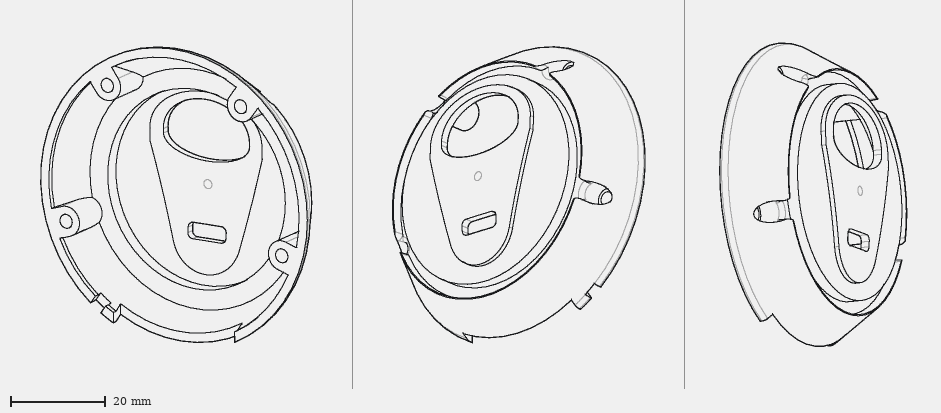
import cadquery as cq
import math


rim_radius = 32.9
rim_straight = 1.2
rim_fillet = 2.8
wall_angle = 29.5
wall_thickness = 2.05
wall_end = 12.9
floor_inside = 9.3

dome_sphere = 184.25
dome_flat_radius = 1.0
dome_radius = 23.1
dome_top = 14.9
recess_radius = 21.9
recess_top = 13.95

groove_floor = 10.65
groove_floor_radius = 25.8
groove_draft = 0.1
groove_fillet = 1.0

boss_circle = 27.95
boss_angles = [54, 126, 198, 342]
boss_radius = 3.3
screw_radius = 1.5
head_radius = 2.25
head_seat = 5.25

gap_width = 29.95
gap_depth = 3.0
gap_top_z = -19.75
notch_angle = 234.0
notch_width = 3.1
notch_depth = 1.85

plate_top = 15.9
head_half_width = 13.8
head_rise = 10.0
head_z = 10.5
side_corner_z = 7.55
foot_radius = 8.4
foot_z = -11.2
window_half_width = 10.6
window_rise = 7.95
window_upper_z = 10.85
window_drop = 4.8
window_lower_z = 9.9
slot_length = 9.35
slot_height = 3.55
slot_corner = 1.2
slot_z = -10.6

wall_slope = math.tan(math.radians(wall_angle))
wall_end_radius = rim_radius - (wall_end - rim_straight) * wall_slope
cavity_radius = rim_radius - wall_thickness
floor_radius = cavity_radius - (floor_inside - rim_straight) * wall_slope


def revolve_profile(profile):
    """Close a (radius, y) outline and revolve it about the Y axis."""
    return profile.close().revolve(360, (0, 0, 0), (0, 1, 0))


def revolve_points(points):
    return revolve_profile(cq.Workplane("XY").polyline(points))


def sketch_at(y):
    """Sketch plane across the axis, with sketch axes X and Z; negative extrusions run toward +Y."""
    return cq.Workplane("XZ", origin=(0, y, 0))


def cylinder(radius, start, end, x=0):
    """Cylinder along Y from y = start to y = end."""
    return sketch_at(start).center(x, 0).circle(radius).extrude(start - end)


def place_at(shape, angle):
    """Turn a shape built on the +X side about the Y axis to the given angle."""
    return shape.rotate((0, 0, 0), (0, 1, 0), -angle)


def domed_cylinder(radius, start, top):
    """Cylinder from y = start whose far end is a spherical surface with a small central flat."""
    def surface_y(r):
        return top + math.sqrt(dome_sphere**2 - r**2) - math.sqrt(dome_sphere**2 - dome_flat_radius**2)

    middle = (radius + dome_flat_radius) / 2
    profile = (cq.Workplane("XY").moveTo(0, start)
               .lineTo(radius, start)
               .lineTo(radius, surface_y(radius))
               .threePointArc((middle, surface_y(middle)), (dome_flat_radius, top))
               .lineTo(0, top))
    return revolve_profile(profile)



def make_outer_form():
    """Solid tapered body with a rounded rim, topped by the dome."""
    angle = math.radians(wall_angle)
    tangent_length = rim_fillet * math.tan(angle / 2)
    fillet_start = rim_straight - tangent_length
    arc_centre = rim_radius - rim_fillet

    def arc_point(turn):
        return arc_centre + rim_fillet * math.cos(turn), fillet_start + rim_fillet * math.sin(turn)

    profile = (cq.Workplane("XY")
               .lineTo(rim_radius, 0)
               .lineTo(rim_radius, fillet_start)
               .threePointArc(arc_point(angle / 2), arc_point(angle))
               .lineTo(wall_end_radius, wall_end)
               .lineTo(0, wall_end))
    return revolve_profile(profile).union(domed_cylinder(dome_radius, floor_inside, dome_top))


def make_boss():
    """Round post joined to the wall by straight radial sides."""
    post = cylinder(boss_radius, 0, floor_inside, boss_circle)
    web = cq.Workplane("XY").box(rim_radius - boss_circle, floor_inside, 2 * boss_radius,
                                 centered=(False, False, True))
    return post.union(web.translate((boss_circle, 0, 0)))


def make_cavity():
    """Hollow inside the wall and under the dome, with the bosses left standing."""
    cavity = revolve_points([(0, 0), (cavity_radius, 0), (cavity_radius, rim_straight),
                             (floor_radius, floor_inside), (0, floor_inside)])
    cavity = cavity.union(domed_cylinder(recess_radius, 0, recess_top))
    boss = make_boss()
    for angle in boss_angles:
        cavity = cavity.cut(place_at(boss, angle))
    return cavity


def make_groove_cut():
    """Groove around the dome together with the screw head seats that break into it."""
    outer_radius = groove_floor_radius + groove_draft * (plate_top - groove_floor)
    groove = revolve_points([(dome_radius, groove_floor), (groove_floor_radius, groove_floor),
                             (outer_radius, plate_top), (dome_radius, plate_top)])
    seat = cylinder(head_radius, head_seat, plate_top, boss_circle)
    for angle in boss_angles:
        groove = groove.union(place_at(seat, angle))

    inner_side = boss_circle - head_radius
    shared_edges = []
    for edge in groove.edges().vals():
        middle = edge.Center()
        near_seat = abs(math.hypot(middle.x, middle.z) - inner_side) < head_radius / 2
        within_groove = groove_floor - groove_fillet < middle.y < plate_top - groove_fillet
        if near_seat and within_groove and edge.Length() < 2 * (plate_top - groove_floor):
            shared_edges.append(edge)
    return groove.newObject(shared_edges).fillet(groove_fillet)


def make_rim_cuts():
    """Wide gap at the bottom of the rim and a small notch beside it."""
    gap_height = rim_radius + gap_top_z
    gap = cq.Workplane("XY").box(gap_width, gap_depth, gap_height, centered=(True, False, False))
    notch = cq.Workplane("XY").box(2 * wall_thickness, notch_depth, notch_width, centered=(True, False, True))
    notch = place_at(notch.translate((rim_radius - wall_thickness / 2, 0, 0)), notch_angle)
    return gap.translate((0, 0, -rim_radius)).union(notch)


def make_housing():
    housing = make_outer_form().cut(make_cavity())
    screw_hole = cylinder(screw_radius, 0, wall_end, boss_circle)
    for angle in boss_angles:
        housing = housing.cut(place_at(screw_hole, angle))
    housing = housing.cut(make_groove_cut())
    housing = housing.cut(make_rim_cuts())
    return housing.cut(make_keyhole())



def make_keyhole():
    """Keyhole-shaped prism: elliptical head, sides that lean inward, round foot tangent to them."""
    drop = side_corner_z - foot_z
    reach = math.hypot(head_half_width, drop)
    tangent_angle = math.atan2(drop, head_half_width) - math.acos(foot_radius / reach)
    tangent_x = foot_radius * math.cos(tangent_angle)
    tangent_z = foot_z + foot_radius * math.sin(tangent_angle)
    outline = (sketch_at(floor_inside)
               .moveTo(head_half_width, side_corner_z)
               .lineTo(head_half_width, head_z)
               .ellipseArc(head_half_width, head_rise, 0, 180)
               .lineTo(-head_half_width, side_corner_z)
               .lineTo(-tangent_x, tangent_z)
               .threePointArc((0, foot_z - foot_radius), (tangent_x, tangent_z))
               .close())
    return outline.extrude(floor_inside - plate_top)


def make_window():
    """Oval opening of two half ellipses joined by short straight sides."""
    outline = (sketch_at(floor_inside)
               .moveTo(window_half_width, window_lower_z)
               .lineTo(window_half_width, window_upper_z)
               .ellipseArc(window_half_width, window_rise, 0, 180)
               .lineTo(-window_half_width, window_lower_z)
               .ellipseArc(window_half_width, window_drop, 180, 360)
               .close())
    return outline.extrude(floor_inside - plate_top)


def make_slot():
    slot = cq.Workplane("XY").box(slot_length, plate_top, slot_height, centered=(True, False, True))
    return slot.edges("|Y").fillet(slot_corner).translate((0, 0, slot_z))


def make_plate():
    plate = domed_cylinder(dome_radius, floor_inside, plate_top)
    plate = plate.cut(domed_cylinder(recess_radius, 0, recess_top))
    plate = plate.intersect(make_keyhole())
    return plate.cut(make_window()).cut(make_slot())


housing = make_housing()
plate = make_plate()
result = cq.Compound.makeCompound([housing.val(), plate.val()])